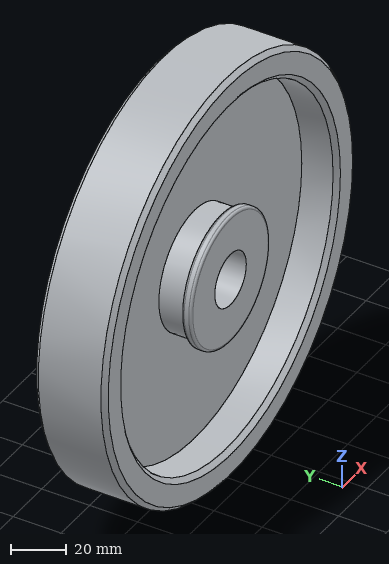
import cadquery as cq

wheel_diameter = 175.0
wheel_width = 30.0
recess_diameter = 150.0
collar_diameter = 55.0
neck_diameter = 50.0
bore_diameter = 22.0
rim_chamfer = 2.0
collar_fillet = 1.0
collar_width = 4.0

front_y = -wheel_width / 2
recess_depth = wheel_width / 2


def disc(diameter, width):
    """Solid disc about the Y axis, reaching from the front face back by width."""
    return cq.Workplane("XZ", origin=(0, front_y + width, 0)).circle(diameter / 2).extrude(width)


body = disc(wheel_diameter, wheel_width).edges().chamfer(rim_chamfer)

body = body.cut(disc(recess_diameter, recess_depth))
body = body.faces("<Y").edges(cq.selectors.RadiusNthSelector(0)).chamfer(rim_chamfer)

neck = disc(neck_diameter, recess_depth)
collar = disc(collar_diameter, collar_width).edges().fillet(collar_fillet)

result = body.union(neck).union(collar).cut(disc(bore_diameter, wheel_width))